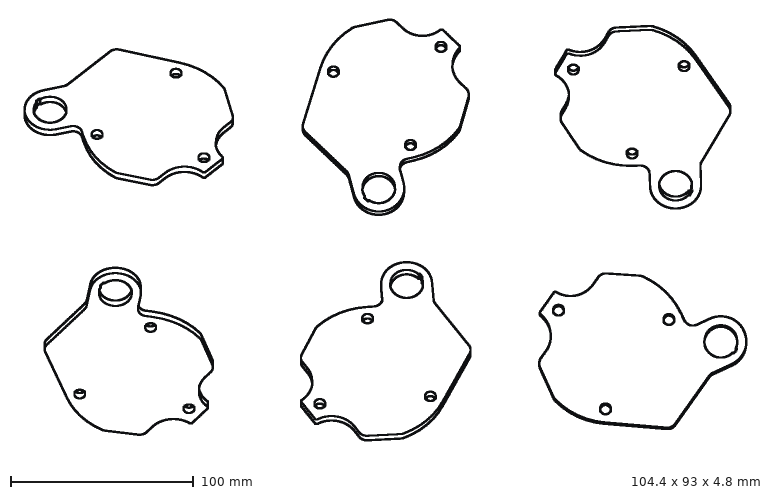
import cadquery as cq
import math

thickness = 4.8
disc_radius = 42.5
left_edge = -53.5
right_edge = 27.7
chamfer_distance = 40.2
slope = math.radians(30)
chamfer_slope = math.radians(31)
corner_radius = 5.0

tab_end = 42.7
tab_half_width = 7.5
tab_corner_radius = 1.0
scallop_radius = tab_end - right_edge

bolt_circle_radius = 35.0
bolt_hole_diameter = 6.0
bolt_count = 3

lug_x = -47.7
lug_y = -36.5
lug_radius = 14.0
lug_bore_diameter = 18.0
keyway_width = 2.9
keyway_reach = 9.6


def chamfer_y(x):
    """Height of the upper right-hand sloping edge at x."""
    return (chamfer_distance - x * math.sin(chamfer_slope)) / math.cos(chamfer_slope)


def disc_point(angle):
    return (disc_radius * math.cos(angle), disc_radius * math.sin(angle))


def mirrored(point):
    return (point[0], -point[1])


tangent_angle = math.pi / 2 + slope
cut_angle = math.pi / 2 - chamfer_slope + math.acos(chamfer_distance / disc_radius)
disc_tangent = disc_point(tangent_angle)
disc_cut = disc_point(cut_angle)
disc_middle = disc_point((tangent_angle + cut_angle) / 2)

upper_left = (left_edge, disc_tangent[1] + (left_edge - disc_tangent[0]) * math.tan(slope))
shoulder = (right_edge, chamfer_y(right_edge))
scallop_y = tab_half_width + scallop_radius
scallop_start = (right_edge, scallop_y)
scallop_middle = (
    tab_end - scallop_radius * math.cos(math.pi / 4),
    scallop_y - scallop_radius * math.sin(math.pi / 4),
)
tab_corner = (tab_end, tab_half_width)

flank_x = lug_radius * math.cos(slope)
flank_y = lug_radius * math.sin(slope)
flank_gradient = 1 / math.tan(slope)
outer_flank = (lug_x - flank_x, lug_y + flank_y)
inner_flank = (lug_x + flank_x, lug_y - flank_y)
lug_tip = (lug_x - flank_y, lug_y - flank_x)
outer_root = (left_edge, outer_flank[1] + (left_edge - outer_flank[0]) * flank_gradient)

lower_tangent = mirrored(disc_tangent)
edge_gradient = -math.tan(slope)
inner_root_x = (
    lower_tangent[1] - inner_flank[1] + flank_gradient * inner_flank[0] - edge_gradient * lower_tangent[0]
) / (flank_gradient - edge_gradient)
inner_root = (inner_root_x, inner_flank[1] + flank_gradient * (inner_root_x - inner_flank[0]))

plate = (
    cq.Workplane("XY")
    .moveTo(*upper_left)
    .lineTo(*disc_tangent)
    .threePointArc(disc_middle, disc_cut)
    .lineTo(*shoulder)
    .lineTo(*scallop_start)
    .threePointArc(scallop_middle, tab_corner)
    .lineTo(*mirrored(tab_corner))
    .threePointArc(mirrored(scallop_middle), mirrored(scallop_start))
    .lineTo(*mirrored(shoulder))
    .lineTo(*mirrored(disc_cut))
    .threePointArc(mirrored(disc_middle), lower_tangent)
    .lineTo(*inner_root)
    .lineTo(*inner_flank)
    .threePointArc(lug_tip, outer_flank)
    .lineTo(*outer_root)
    .close()
    .extrude(thickness)
)


def round_corners(body, points, radius):
    """Fillet the vertical edges standing on the given outline points."""
    for x, y in points:
        edge = cq.selectors.NearestToPointSelector((x, y, thickness / 2))
        body = body.edges("|Z").edges(edge).fillet(radius)
    return body


body_corners = [
    upper_left,
    disc_cut,
    shoulder,
    mirrored(shoulder),
    mirrored(disc_cut),
    inner_root,
    outer_root,
]
plate = round_corners(plate, body_corners, corner_radius)
plate = round_corners(plate, [tab_corner, mirrored(tab_corner)], tab_corner_radius)

bolt_holes = (
    cq.Workplane("XY")
    .polarArray(bolt_circle_radius, 0, 360, bolt_count)
    .circle(bolt_hole_diameter / 2)
    .extrude(thickness)
)

lug_bore = cq.Workplane("XY").center(lug_x, lug_y).circle(lug_bore_diameter / 2).extrude(thickness)
keyway = (
    cq.Workplane("XY")
    .center(lug_x - keyway_reach / 2, lug_y)
    .rect(keyway_reach, keyway_width)
    .extrude(thickness)
)

result = plate.cut(bolt_holes).cut(lug_bore).cut(keyway)